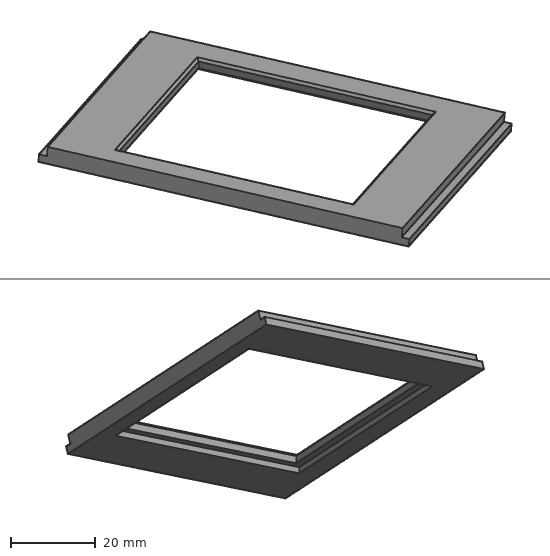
import cadquery as cq

LENGTH = 96.0
DEPTH = 60.0
HEIGHT = 4.0

LEAN = 1.1

TONGUE_WIDTH = 2.0
TONGUE_HEIGHT = 1.8

WINDOW_LENGTH = 60.5
WINDOW_DEPTH = 45.9
WINDOW_BEVEL = 0.7

RECESS_HEIGHT = 1.5
RECESS_MARGIN = 1.9


def make_plate():
    """Parallelogram plate with a stepped tongue at each end."""
    y_front = -DEPTH / 2
    y_rear = DEPTH / 2
    side_profile = [
        (y_front, 0),
        (y_rear - LEAN, 0),
        (y_rear, HEIGHT),
        (y_front + LEAN, HEIGHT),
    ]
    plate = cq.Workplane("YZ").polyline(side_profile).close().extrude(LENGTH / 2, both=True)

    for side in (-1, 1):
        step_center_x = side * (LENGTH - TONGUE_WIDTH) / 2
        step = (
            cq.Workplane("XY", origin=(step_center_x, 0, TONGUE_HEIGHT))
            .rect(TONGUE_WIDTH, DEPTH)
            .extrude(HEIGHT - TONGUE_HEIGHT)
        )
        plate = plate.cut(step)
    return plate


def make_window():
    """Through opening, flared at 45 degrees over the top bevel height."""
    opening = cq.Workplane("XY").rect(WINDOW_LENGTH, WINDOW_DEPTH).extrude(HEIGHT)
    bevel = (
        cq.Workplane("XY", origin=(0, 0, HEIGHT - WINDOW_BEVEL))
        .rect(WINDOW_LENGTH, WINDOW_DEPTH)
        .workplane(offset=WINDOW_BEVEL)
        .rect(WINDOW_LENGTH + 2 * WINDOW_BEVEL, WINDOW_DEPTH + 2 * WINDOW_BEVEL)
        .loft(ruled=True)
    )
    return opening.union(bevel)


def make_recess():
    """Rectangular pocket in the underside, wider than the window all round."""
    return (
        cq.Workplane("XY")
        .rect(WINDOW_LENGTH + 2 * RECESS_MARGIN, WINDOW_DEPTH + 2 * RECESS_MARGIN)
        .extrude(RECESS_HEIGHT)
    )


frame = make_plate().cut(make_window()).cut(make_recess())

result = cq.Compound.makeCompound([frame.val()])